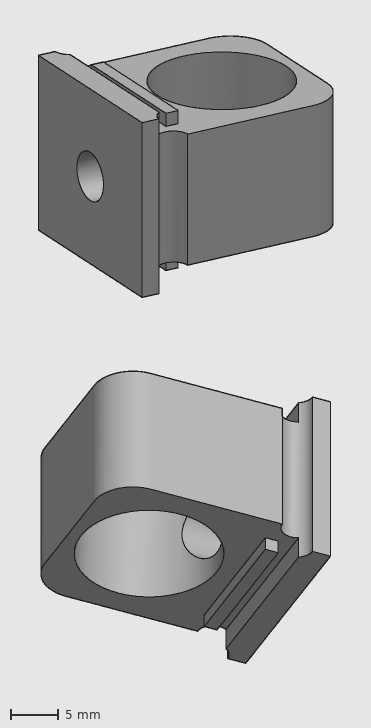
import cadquery as cq

width = 21.5
depth = 25.4
plate_height = 20.0
plate_thickness = 3.0

body_height = 15.0
corner_radius = 4.5
bore_diameter = 15.8
bore_center_y = 16.15

rib_width = 15.5
rib_thickness = 1.5
rib_front_y = 4.7
rib_height = 1.5

notch_diameter = 3.5
notch_center_y = (plate_thickness + rib_front_y) / 2

screw_hole_diameter = 5.5
head_recess_diameter = 10.0
head_seat_y = 3.2


def centered_block(size_x, size_y, size_z, front_y):
    """Block centred on X and Z whose front face is at front_y."""
    block = cq.Workplane("XY").box(size_x, size_y, size_z, centered=(True, False, True))
    return block.translate((0, front_y, 0))


def vertical_cylinder(diameter, x, y):
    """Cylinder along Z, as tall as the plate."""
    profile = cq.Workplane("XY").center(x, y).circle(diameter / 2)
    return profile.extrude(plate_height / 2, both=True)


def make_body():
    """Block with rounded rear corners."""
    block = centered_block(width, depth, body_height, 0)
    return block.edges("|Z and >Y").fillet(corner_radius)


def bore_access_hole(diameter, front_y):
    """Hole along Y from front_y to the centre of the bore."""
    profile = cq.Workplane("XZ", origin=(0, front_y, 0)).circle(diameter / 2)
    return profile.extrude(front_y - bore_center_y)


plate = centered_block(width, plate_thickness, plate_height, 0)
rib_pair = centered_block(rib_width, rib_thickness, body_height + 2 * rib_height, rib_front_y)

result = make_body().union(plate).union(rib_pair)

result = result.cut(vertical_cylinder(bore_diameter, 0, bore_center_y))
for notch_x in (-width / 2, width / 2):
    result = result.cut(vertical_cylinder(notch_diameter, notch_x, notch_center_y))
result = result.cut(bore_access_hole(screw_hole_diameter, 0))
result = result.cut(bore_access_hole(head_recess_diameter, head_seat_y))